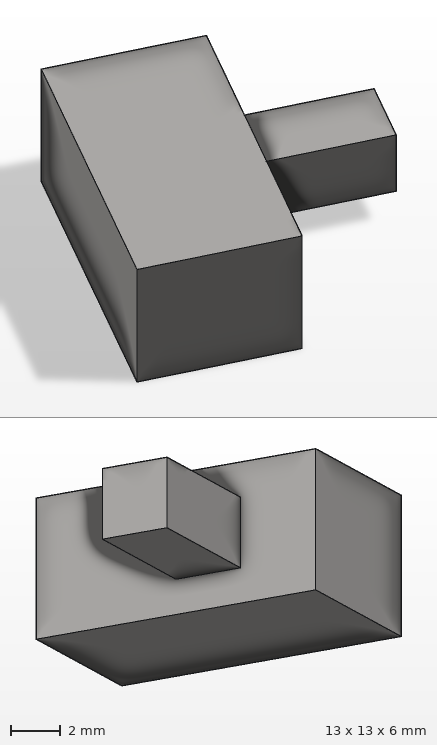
import cadquery as cq

body_width = 13.0
overall_depth = 13.0
body_height = 6.0
stem_length = 6.0
stem_side = 3.0
stem_left_offset = 3.5

body_depth = overall_depth - stem_length
stem_bottom = (body_height - stem_side) / 2

body = cq.Workplane("XY").box(body_width, body_depth, body_height, centered=False)

stem = (
    cq.Workplane("XY")
    .box(stem_side, stem_length, stem_side, centered=False)
    .translate((stem_left_offset, body_depth, stem_bottom))
)

result = body.union(stem)